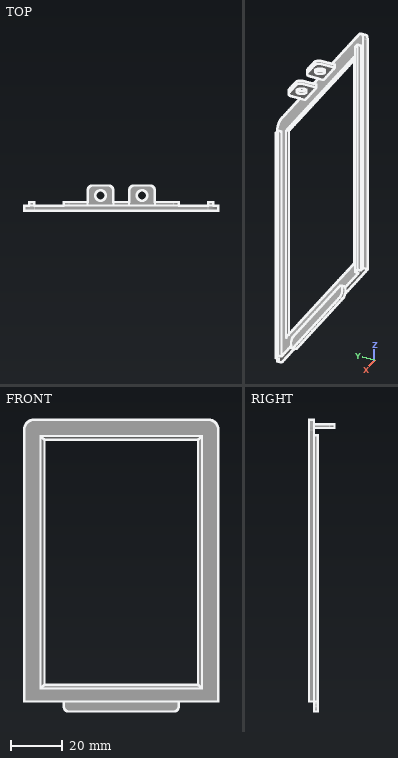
import cadquery as cq

WIDTH = 76.0
DEPTH = 10.0
HEIGHT = 114.2

PLATE_THICKNESS = 2.0
CORNER_RADIUS = 4.0
TONGUE_DROP = 4.0
PLATE_HEIGHT = HEIGHT - TONGUE_DROP

SIDE_BORDER = 6.5
TOP_BORDER = 6.5
BOTTOM_BORDER = 5.1
WINDOW_TAPER = 1.5
WINDOW_WIDTH = WIDTH - 2 * SIDE_BORDER
WINDOW_HEIGHT = PLATE_HEIGHT - TOP_BORDER - BOTTOM_BORDER
WINDOW_CENTER_Z = TONGUE_DROP + BOTTOM_BORDER + WINDOW_HEIGHT / 2

RIB_WIDTH = 2.0
RIB_DEPTH = 1.5
RIB_INSET = 1.9
RIB_TOP_GAP = 6.0
RIB_HEIGHT = PLATE_HEIGHT - RIB_TOP_GAP

TONGUE_WIDTH = 45.0
TONGUE_OVERLAP = 1.3
TONGUE_HEIGHT = TONGUE_DROP + TONGUE_OVERLAP
TONGUE_RADIUS = 2.0

TAB_WIDTH = 10.0
TAB_THICKNESS = 1.5
TAB_TOP_GAP = 1.8
TAB_OFFSET_X = 8.1
TAB_RADIUS = 2.0
TAB_HOLE_DIAMETER = 4.0
TAB_HOLE_EDGE_DISTANCE = 4.0


def box_from(x_center, y_front, z_bottom, width, depth, height):
    """Box centred in X, placed by its front face and its underside."""
    box = cq.Workplane("XY").box(width, depth, height, centered=(True, False, False))
    return box.translate((x_center, y_front, z_bottom))


def make_plate():
    plate = box_from(0, 0, TONGUE_DROP, WIDTH, PLATE_THICKNESS, PLATE_HEIGHT)
    return plate.edges("|Y and >Z").fillet(CORNER_RADIUS)


def make_window():
    return (
        cq.Workplane("XZ", origin=(0, 0, WINDOW_CENTER_Z))
        .rect(WINDOW_WIDTH, WINDOW_HEIGHT)
        .workplane(offset=-PLATE_THICKNESS)
        .rect(WINDOW_WIDTH - 2 * WINDOW_TAPER, WINDOW_HEIGHT - 2 * WINDOW_TAPER)
        .loft(ruled=True)
    )


def make_rib(side):
    x_center = side * (WIDTH / 2 - RIB_INSET - RIB_WIDTH / 2)
    return box_from(x_center, PLATE_THICKNESS, TONGUE_DROP, RIB_WIDTH, RIB_DEPTH, RIB_HEIGHT)


def make_tongue():
    tongue = box_from(0, PLATE_THICKNESS, 0, TONGUE_WIDTH, RIB_DEPTH, TONGUE_HEIGHT)
    return tongue.edges("|Y").fillet(TONGUE_RADIUS)


def make_tab(side):
    x_center = side * TAB_OFFSET_X
    z_bottom = HEIGHT - TAB_TOP_GAP - TAB_THICKNESS
    length = DEPTH - PLATE_THICKNESS
    tab = box_from(x_center, PLATE_THICKNESS, z_bottom, TAB_WIDTH, length, TAB_THICKNESS)
    tab = tab.edges("|Z and >Y").fillet(TAB_RADIUS)
    hole = (
        cq.Workplane("XY", origin=(x_center, DEPTH - TAB_HOLE_EDGE_DISTANCE, z_bottom))
        .circle(TAB_HOLE_DIAMETER / 2)
        .extrude(TAB_THICKNESS)
    )
    return tab.cut(hole)


result = make_plate().cut(make_window()).union(make_tongue())
for side in (-1, 1):
    result = result.union(make_rib(side)).union(make_tab(side))